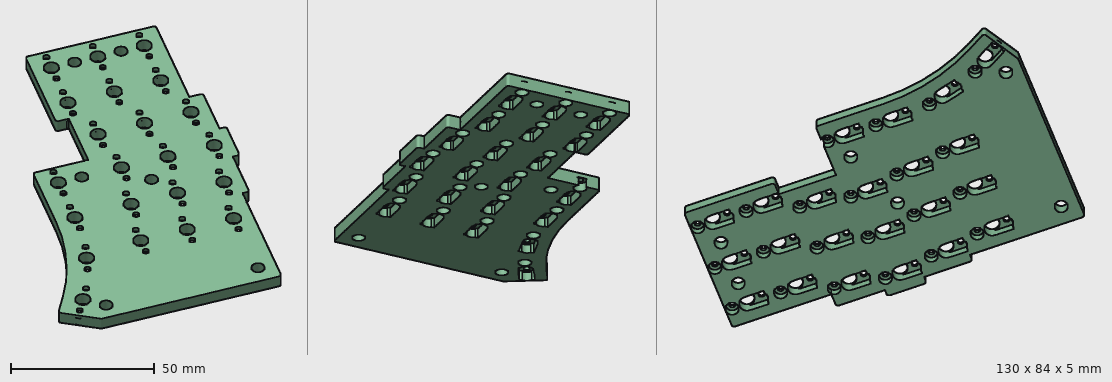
import cadquery as cq
import math

length = 130.0
thickness = 5.0
corner_radius = 1.0

column_count = 6
row_count = 3
column_pitch = 90.1 / (column_count - 1)
row_pitch = 34.0 / (row_count - 1)
first_column_x = 7.9
outer_row_y = 35.5
stagger_steps = [0, 0, 2, 3, 2, 1]
stagger = 7.5 / max(stagger_steps)

key_margin_x = 7.3
key_margin_y = 6.9
step_margin_x = 7.5
step_edge_y = 33.3

thumb_row_y = 19.9
turn_angle = 15.0
curve_radius = 71.1
curve_end_length = 7.8
turned_keys = [(100.1, 17.4, turn_angle), (119.0, 9.8, 2 * turn_angle)]

stem_diameter = 5.3
pin_diameter = 2.2
pin_offset = 5.5
pin_pocket_diameter = 4.7
stem_pocket_round_x = 0.9
stem_pocket_right_x = 7.2
stem_pocket_width = 5.5
stem_pocket_depth = 3.6
pin_pocket_depth = 3.2

screw_diameter = 4.5


def column_x(column):
    return first_column_x + column * column_pitch


def key_y(column, row):
    return outer_row_y + stagger_steps[column] * stagger + row * row_pitch


def column_top(column):
    return key_y(column, row_count - 1) + key_margin_y


def curve_point(angle):
    """Point on the curved thumb edge, at a clockwise angle from the start of the curve."""
    turn = math.radians(angle)
    start_x = column_x(4)
    start_y = thumb_row_y - key_margin_y
    return start_x + curve_radius * math.sin(turn), start_y - curve_radius * (1 - math.cos(turn))


def plate():
    """Extruded outline with its outward corners rounded and its inward corners sharp."""
    bottom_y = outer_row_y - key_margin_y
    step_x = column_x(1) + step_margin_x
    inner_x = column_x(3) - key_margin_x
    third_column_left = column_x(2) - key_margin_x
    fourth_column_right = column_x(3) + key_margin_x
    fifth_column_right = column_x(4) + key_margin_x

    curve_start = curve_point(0)
    curve_end = curve_point(2 * turn_angle)
    slope = math.radians(2 * turn_angle)
    tip_x = curve_end[0] + curve_end_length * math.cos(slope)
    tip_y = curve_end[1] - curve_end_length * math.sin(slope)
    side_start_y = tip_y + (length - tip_x) / math.tan(slope)

    corners_before_curve = [
        (0, bottom_y, True),
        (step_x, bottom_y, True),
        (step_x, step_edge_y, False),
        (inner_x, step_edge_y, False),
        (inner_x, curve_start[1], True),
    ]
    corners_after_curve = [
        (tip_x, tip_y, True),
        (length, side_start_y, True),
        (length, column_top(5), True),
        (fifth_column_right, column_top(5), False),
        (fifth_column_right, column_top(4), True),
        (fourth_column_right, column_top(4), False),
        (fourth_column_right, column_top(3), True),
        (inner_x, column_top(3), True),
        (inner_x, column_top(2), False),
        (third_column_left, column_top(2), True),
        (third_column_left, column_top(1), False),
        (0, column_top(1), True),
    ]
    outline = cq.Workplane("XY").polyline([(x, y) for x, y, _ in corners_before_curve])
    outline = outline.lineTo(*curve_start).threePointArc(curve_point(turn_angle), curve_end)
    for x, y, _ in corners_after_curve:
        outline = outline.lineTo(x, y)
    body = outline.close().extrude(thickness)

    for x, y, rounded in corners_before_curve + corners_after_curve:
        if rounded:
            corner = cq.selectors.NearestToPointSelector((x, y, thickness / 2))
            body = body.edges("|Z").edges(corner).fillet(corner_radius)
    return body


def key_cutter(x, y, angle):
    """Stem hole and two pin holes, each opening into a pocket underneath, turned clockwise."""
    base = cq.Workplane("XY")
    pins = [(-pin_offset, 0), (pin_offset, 0)]
    half_width = stem_pocket_width / 2
    stem = base.circle(stem_diameter / 2).extrude(thickness)
    pin_holes = base.pushPoints(pins).circle(pin_diameter / 2).extrude(thickness)
    pin_pockets = base.pushPoints(pins).circle(pin_pocket_diameter / 2).extrude(pin_pocket_depth)
    stem_pocket = (
        base.moveTo(stem_pocket_round_x, -half_width)
        .lineTo(stem_pocket_right_x, -half_width)
        .lineTo(stem_pocket_right_x, half_width)
        .lineTo(stem_pocket_round_x, half_width)
        .threePointArc((stem_pocket_round_x - half_width, 0), (stem_pocket_round_x, -half_width))
        .close()
        .extrude(stem_pocket_depth)
    )
    cutter = stem.union(pin_holes).union(pin_pockets).union(stem_pocket)
    return cutter.rotate((0, 0, 0), (0, 0, 1), -angle).translate((x, y, 0))


keys = [(column_x(c), key_y(c, r), 0) for c in range(column_count) for r in range(row_count)]
keys += [(column_x(c), thumb_row_y, 0) for c in (3, 4)]
keys += turned_keys

screw_points = [
    (column_x(0), key_y(0, 0.5)),
    (column_x(0), key_y(0, 1.5)),
    (column_x(3), 28.5),
    (70.8, 51.1),
    (123.6, 72.4),
    (124.2, 16.5),
]
screw_holes = cq.Workplane("XY").pushPoints(screw_points).circle(screw_diameter / 2).extrude(thickness)

result = plate().cut(screw_holes)
for key in keys:
    result = result.cut(key_cutter(*key))